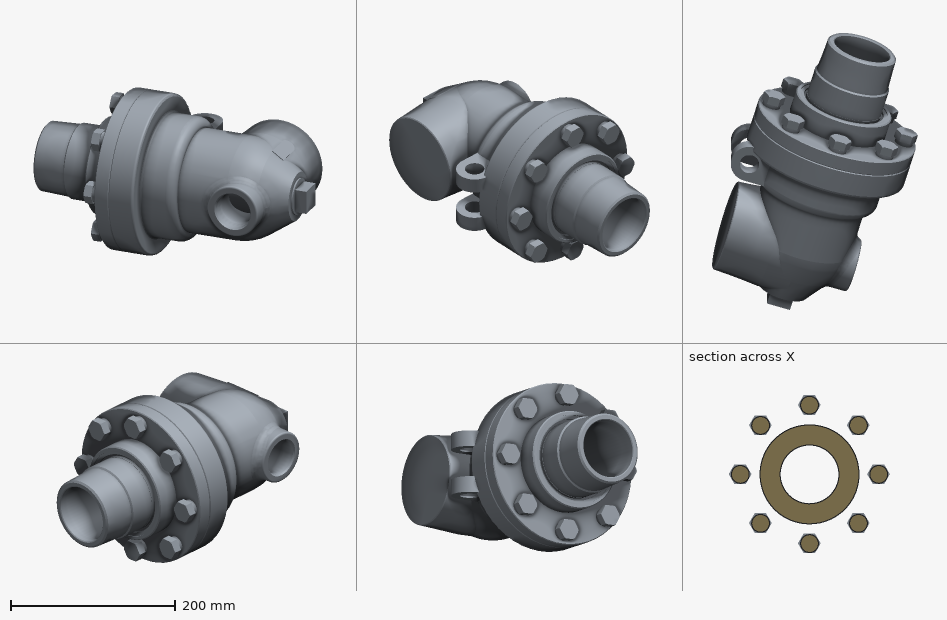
import cadquery as cq
import math

overall_length = 348.5

bore_radius = 35.5
bore_depth = 209.2
bore_chamfer = 1.0
pipe_lip_radius = 41.3
thread_start = 2.0
thread_start_radius = 43.5
thread_end = 40.8
thread_end_radius = 45.3
pipe_start = 42.5
pipe_radius = 94.5 / 2
pipe_step_x = 75.3
pipe_step_radius = 95.2 / 2

collar_start = 75.5
collar_radius = 60.5
collar_chamfer = 1.5
recess_radius = 111.2 / 2
recess_depth = 1.5
gap_radius = 101.5 / 2
gap_depth = 4.2

flange_start = 104.2
flange_joint = 122.7
flange_end = 155.0
flange_radius = 100.5
flange_chamfer = 1.0
flange_back_round = 3.5

shoulder_radius = 77.5
shoulder_end = 199.8
shoulder_round = 12.0
shoulder_foot_fillet = 2.5
barrel_radius = 130.0 / 2
dome_center = 261.5
cone_start = 298.5
cone_end = 331.5

plug_disc_radius = 23.0
plug_disc_end = 333.5
plug_square = 29.3

bolt_count = 8
bolt_circle_radius = 84.5
bolt_head_start = 88.5
bolt_head_end = 99.0
bolt_head_flats = 24.0
bolt_head_chamfer = 1.0
bolt_washer_radius = 11.0

lug_x = 171.0
lug_y = 91.7
lug_radius = 22.5
lug_root_y = 38.5
lug_hole_radius = 12.0
lug_inner_z = 19.0
lug_outer_z = 38.5

outlet_x = 271.0
outlet_end_y = 91.7
outlet_cone_base_y = 33.8
outlet_base_radius = 60.3
outlet_end_radius = 55.6
outlet_edge_chamfer = 1.0

pad_tilt = 34.5
pad_width = 17.8
pad_height = 60.5

port_x = 275.8
port_end_y = -74.0
port_radius = 32.8
port_fillet = 12.0
port_edge_round = 2.5
port_bore_radius = 21.5
port_mouth_radius = 24.0
port_mouth_chamfer = 2.0
port_taper_start_radius = 22.5
port_taper_length = 16.7
core_radius = 64.5 / 2


def cylinder_x(radius, start, end):
    return cq.Workplane("YZ").workplane(offset=start).circle(radius).extrude(end - start)


def cylinder_y(x, radius, start, end):
    return cq.Workplane("XZ", origin=(x, start, 0)).circle(radius).extrude(start - end)


def make_housing():
    dome_angle = math.asin((cone_start - dome_center) / barrel_radius)
    cone_start_radius = barrel_radius * math.cos(dome_angle)
    cone_end_radius = cone_start_radius - math.tan(dome_angle) * (cone_end - cone_start)
    dome_mid = (
        dome_center + barrel_radius * math.sin(dome_angle / 2),
        barrel_radius * math.cos(dome_angle / 2),
    )
    foot_radius = shoulder_radius + shoulder_foot_fillet
    return (
        cq.Workplane("XY")
        .moveTo(flange_start, 0)
        .lineTo(flange_start, foot_radius)
        .lineTo(flange_end, foot_radius)
        .radiusArc((flange_end + shoulder_foot_fillet, shoulder_radius), -shoulder_foot_fillet)
        .lineTo(shoulder_end - shoulder_round, shoulder_radius)
        .radiusArc((shoulder_end, shoulder_radius - shoulder_round), shoulder_round)
        .lineTo(shoulder_end, barrel_radius)
        .lineTo(dome_center, barrel_radius)
        .threePointArc(dome_mid, (cone_start, cone_start_radius))
        .lineTo(cone_end, cone_end_radius)
        .lineTo(cone_end, 0)
        .close()
        .revolve(360, (0, 0, 0), (1, 0, 0))
    )


def add_port(housing):
    stub_end = port_end_y - port_fillet
    margin = 3.5
    reach = port_radius + margin
    body = housing.union(cylinder_y(port_x, port_radius, 0, stub_end))
    root_zone = cq.selectors.BoxSelector(
        (port_x - reach, stub_end + margin, -reach),
        (port_x + reach, 0, reach),
        boundingbox=True,
    )
    body = body.edges(root_zone).edges("not |Y").fillet(port_fillet)
    body = body.cut(cylinder_y(port_x, 2 * port_radius, port_end_y, stub_end))
    return body.faces("<Y").edges().fillet(port_edge_round)


def make_port_bore():
    bore = (
        cq.Workplane("XY")
        .polyline([
            (0, port_end_y),
            (port_mouth_radius, port_end_y),
            (port_taper_start_radius, port_end_y + port_mouth_chamfer),
            (port_bore_radius, port_end_y + port_taper_length),
            (port_bore_radius, 0),
            (0, 0),
        ])
        .close()
        .revolve(360, (0, 0, 0), (0, 1, 0))
        .translate((port_x, 0, 0))
    )
    return bore.cut(cylinder_x(core_radius, bore_depth, cone_end))


def make_outlet():
    stub = cylinder_y(outlet_x, outlet_base_radius, outlet_cone_base_y, 0)
    taper = (
        cq.Workplane("XY")
        .polyline([
            (0, outlet_cone_base_y),
            (outlet_base_radius, outlet_cone_base_y),
            (outlet_end_radius, outlet_end_y),
            (0, outlet_end_y),
        ])
        .close()
        .revolve(360, (0, 0, 0), (0, 1, 0))
        .faces(">Y")
        .chamfer(outlet_edge_chamfer)
        .translate((outlet_x, 0, 0))
    )
    return stub.union(taper)


def make_pad():
    half_width = pad_width / 2
    return (
        cq.Workplane("XY")
        .moveTo(-half_width, 0)
        .lineTo(half_width, 0)
        .lineTo(half_width, outlet_cone_base_y)
        .threePointArc((0, outlet_cone_base_y + half_width), (-half_width, outlet_cone_base_y))
        .close()
        .extrude(pad_height)
        .rotate((0, 0, 0), (0, 1, 0), pad_tilt)
        .translate((outlet_x, 0, 0))
    )


def make_flanges():
    front = cylinder_x(flange_radius, flange_start, flange_joint)
    front = front.faces("<X or >X").chamfer(flange_chamfer)
    back = cylinder_x(flange_radius, flange_joint, flange_end)
    back = back.faces("<X").chamfer(flange_chamfer)
    back = back.faces(">X").edges().fillet(flange_back_round)
    return front.union(back)


def make_inlet():
    pipe = (
        cq.Workplane("XY")
        .polyline([
            (0, 0),
            (0, pipe_lip_radius),
            (thread_start, thread_start_radius),
            (thread_end, thread_end_radius),
            (pipe_start, pipe_radius),
            (pipe_step_x, pipe_radius),
            (pipe_step_x, pipe_step_radius),
            (flange_start, pipe_step_radius),
            (flange_start, 0),
        ])
        .close()
        .revolve(360, (0, 0, 0), (1, 0, 0))
    )
    collar = cylinder_x(collar_radius, collar_start, flange_start)
    collar = collar.faces("<X").chamfer(collar_chamfer)
    collar = collar.cut(cylinder_x(recess_radius, collar_start, collar_start + recess_depth))
    collar = collar.cut(cylinder_x(gap_radius, collar_start, collar_start + gap_depth))
    return pipe.union(collar)


def make_inlet_bore():
    return (
        cq.Workplane("XY")
        .polyline([
            (0, 0),
            (0, bore_radius + bore_chamfer),
            (bore_chamfer, bore_radius),
            (bore_depth, bore_radius),
            (bore_depth, 0),
        ])
        .close()
        .revolve(360, (0, 0, 0), (1, 0, 0))
    )


def make_bolt():
    corner_radius = bolt_head_flats / 2 / math.cos(math.pi / 6)
    head = (
        cq.Workplane("YZ")
        .workplane(offset=bolt_head_start)
        .polygon(6, 2 * corner_radius)
        .extrude(bolt_head_end - bolt_head_start)
    )
    blank = cylinder_x(corner_radius, bolt_head_start, bolt_head_end)
    blank = blank.faces("<X").chamfer(bolt_head_chamfer)
    washer = cylinder_x(bolt_washer_radius, bolt_head_end, flange_start)
    return head.intersect(blank).union(washer)


def make_lug(bottom_z):
    thickness = lug_outer_z - lug_inner_z
    return (
        cq.Workplane("XY", origin=(lug_x, 0, bottom_z))
        .moveTo(-lug_radius, lug_root_y)
        .lineTo(-lug_radius, lug_y)
        .threePointArc((0, lug_y + lug_radius), (lug_radius, lug_y))
        .lineTo(lug_radius, lug_root_y)
        .close()
        .moveTo(0, lug_y)
        .circle(lug_hole_radius)
        .extrude(thickness)
    )


def make_plug():
    disc = cylinder_x(plug_disc_radius, cone_end, plug_disc_end)
    head = (
        cq.Workplane("YZ")
        .workplane(offset=plug_disc_end)
        .rect(plug_square, plug_square)
        .extrude(overall_length - plug_disc_end)
    )
    return disc.union(head)


body = add_port(make_housing())
for feature in (make_outlet(), make_pad(), make_flanges(), make_inlet(), make_plug()):
    body = body.union(feature)

bolt = make_bolt()
for index in range(bolt_count):
    angle = 2 * math.pi * index / bolt_count
    bolt_y = bolt_circle_radius * math.cos(angle)
    bolt_z = bolt_circle_radius * math.sin(angle)
    body = body.union(bolt.translate((0, bolt_y, bolt_z)))

for lug_bottom_z in (lug_inner_z, -lug_outer_z):
    body = body.union(make_lug(lug_bottom_z))

result = body.cut(make_inlet_bore()).cut(make_port_bore())